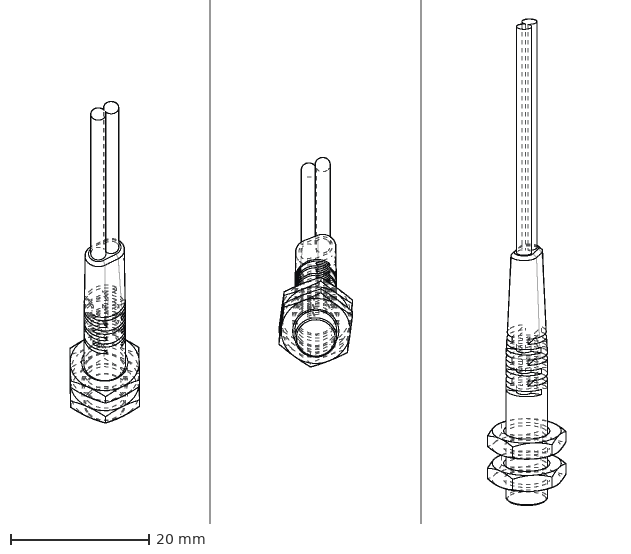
import cadquery as cq
import math

body_dia = 6.0
body_radius = body_dia / 2
end_chamfer = 0.2

nut_flats = 10.0
nut_sides = 6
nut_corners = nut_flats / math.cos(math.pi / nut_sides)
nut_height = 2.5
nut_bottoms = (3.0, 8.0)
nut_face_dia = nut_flats
nut_bevel_angle = 30
nut_sink_dia = 6.7
nut_sink_depth = (nut_sink_dia - body_dia) / 2

taper_bottom = 22.7
boot_top = 38.5
boot_top_width = 3.8
boot_top_chamfer = 0.5
side_half_length_bottom = 1.5

groove_height = 0.8
groove_pitch = 1.6
top_groove_z = 25.4
groove_count = 6
core_half_width = 1.25

cable_dia = 2.2
cable_overlap = 0.03
cable_offset = (cable_dia - cable_overlap) / 2
cable_top = 73.5
cable_bottom = 14.7


def make_stem():
    stem = cq.Workplane("XY").circle(body_radius).extrude(taper_bottom)
    return stem.faces("<Z").chamfer(end_chamfer)


def make_taper():
    """Ruled loft from the round stem to a slot outline, flush with the stem at +Y and -Y."""
    bottom_half_x = math.sqrt(body_radius**2 - side_half_length_bottom**2)
    top_half_x = boot_top_width / 2
    top_half_y = body_radius - top_half_x
    taper = (
        cq.Workplane("XY", origin=(0, 0, taper_bottom))
        .moveTo(bottom_half_x, -side_half_length_bottom)
        .threePointArc((body_radius, 0), (bottom_half_x, side_half_length_bottom))
        .threePointArc((0, body_radius), (-bottom_half_x, side_half_length_bottom))
        .threePointArc((-body_radius, 0), (-bottom_half_x, -side_half_length_bottom))
        .threePointArc((0, -body_radius), (bottom_half_x, -side_half_length_bottom))
        .close()
        .workplane(offset=boot_top - taper_bottom)
        .moveTo(top_half_x, -top_half_y)
        .lineTo(top_half_x, top_half_y)
        .threePointArc((0, body_radius), (-top_half_x, top_half_y))
        .lineTo(-top_half_x, -top_half_y)
        .threePointArc((0, -body_radius), (top_half_x, -top_half_y))
        .close()
        .loft(ruled=True)
    )
    return taper.faces(">Z").edges().chamfer(boot_top_chamfer)


def make_groove_pair(index):
    """Two opposite straight grooves that leave a flat-sided core between them."""
    z = top_groove_z - index * groove_pitch
    center = core_half_width + body_radius / 2
    pair = (
        cq.Workplane("XY", origin=(0, 0, z))
        .pushPoints([(-center, 0), (center, 0)])
        .box(body_radius, 2 * body_dia, groove_height)
    )
    turn_angle = 90 * (index % 2)
    return pair.rotate((0, 0, 0), (0, 0, 1), turn_angle)


def make_cables():
    return (
        cq.Workplane("XY", origin=(0, 0, cable_bottom))
        .pushPoints([(0, -cable_offset), (0, cable_offset)])
        .circle(cable_dia / 2)
        .extrude(cable_top - cable_bottom)
    )


def make_nut(bottom):
    face_radius = nut_face_dia / 2
    corner_radius = nut_corners / 2
    bevel_drop = (corner_radius - face_radius) * math.tan(math.radians(nut_bevel_angle))
    sink_radius = nut_sink_dia / 2
    blank = (
        cq.Workplane("XZ")
        .moveTo(sink_radius, 0)
        .lineTo(face_radius, 0)
        .lineTo(corner_radius, bevel_drop)
        .lineTo(corner_radius, nut_height - bevel_drop)
        .lineTo(face_radius, nut_height)
        .lineTo(sink_radius, nut_height)
        .lineTo(body_radius, nut_height - nut_sink_depth)
        .lineTo(body_radius, nut_sink_depth)
        .close()
        .revolve(360, (0, 0, 0), (0, 1, 0))
    )
    hexagon = (
        cq.Workplane("XY")
        .polygon(nut_sides, nut_corners)
        .extrude(nut_height)
        .rotate((0, 0, 0), (0, 0, 1), 180 / nut_sides)
    )
    return hexagon.intersect(blank).translate((0, 0, bottom))


result = make_stem().union(make_taper())
for groove_index in range(groove_count):
    result = result.cut(make_groove_pair(groove_index))
result = result.union(make_cables())
for nut_bottom in nut_bottoms:
    result = result.union(make_nut(nut_bottom))